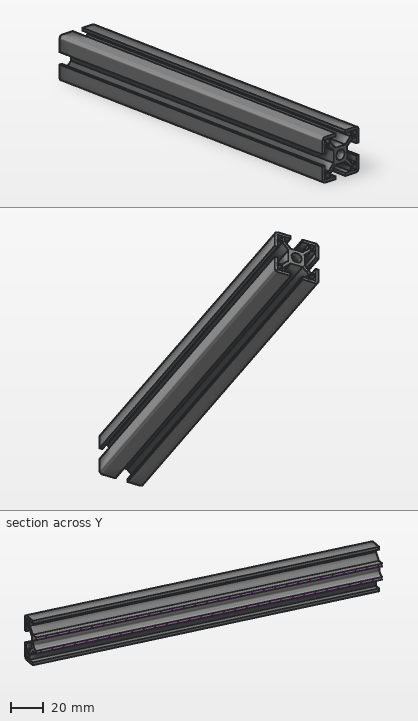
import cadquery as cq
import math

length = 236.0
side = 30.0
slot_opening = 8.15
slot_inner_width = 16.5
lip_thickness = 2.0
core_width = 11.2
core_bore = 6.8
web_thickness = 2.2
corner_radius = 2.5
corner_cavity = 3.55

half_side = side / 2
half_opening = slot_opening / 2
half_inner = slot_inner_width / 2
half_core = core_width / 2
lip_inner = half_side - lip_thickness
cavity_centre = lip_inner - corner_cavity / 2
web_offset = web_thickness / math.sqrt(2)


def make_blank():
    """Square bar with rounded long edges."""
    return cq.Workplane("YZ").rect(side, side).extrude(length).edges("|X").fillet(corner_radius)


def make_slot():
    """T-slot cutter for the +Z side; its flanks run parallel to the diagonal webs."""
    right_outline = [
        (half_core - web_offset, half_core),
        (half_inner, half_inner + web_offset),
        (half_inner, lip_inner),
        (half_opening, lip_inner),
        (half_opening, half_side),
    ]
    left_outline = [(-y, z) for y, z in reversed(right_outline)]
    return cq.Workplane("YZ").polyline(right_outline + left_outline).close().extrude(length)


def cut_slots(body):
    """One T-slot on each of the four sides."""
    slot = make_slot()
    for quarter_turn in range(4):
        body = body.cut(slot.rotate((0, 0, 0), (1, 0, 0), 90 * quarter_turn))
    return body


def make_cavities():
    """Round centre bore and a square cavity in each corner, all running the full length."""
    bore = cq.Workplane("YZ").circle(core_bore / 2).extrude(length)
    corners = (
        cq.Workplane("YZ")
        .rect(2 * cavity_centre, 2 * cavity_centre, forConstruction=True)
        .vertices()
        .rect(corner_cavity, corner_cavity)
        .extrude(length)
    )
    return bore.union(corners)


result = cut_slots(make_blank()).cut(make_cavities())